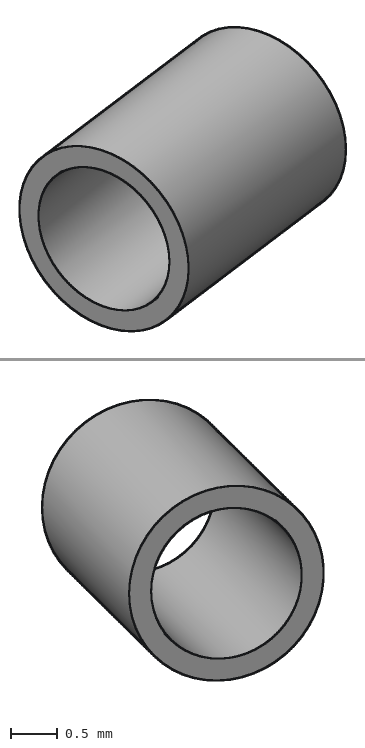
import cadquery as cq

length = 3.0
outer_diameter = 2.2
bore_diameter = 1.7

result = (
    cq.Workplane("XZ", origin=(0, length / 2, 0))
    .circle(outer_diameter / 2)
    .circle(bore_diameter / 2)
    .extrude(length)
)